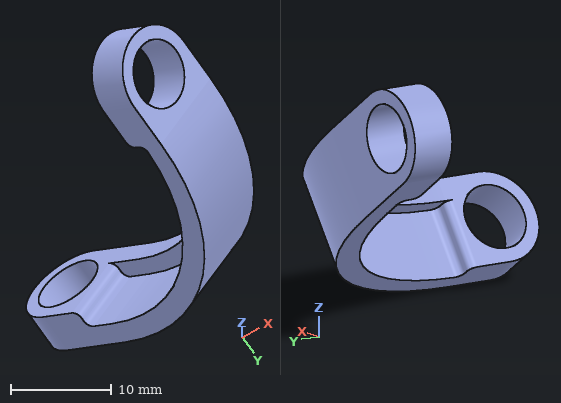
import cadquery as cq
import math

tilt = 36.0
overall_length = 33.95
arm_width = 10.0
thickness = 4.5
hole_diameter = 7.0
reach_along_y = 28.7
first_leg_length = 8.5
rim_width = 2.5
recess_depth = 2.0
step_radius = 0.8

angle = math.radians(tilt)
end_radius = arm_width / 2
reach_along_slope = (overall_length - end_radius * (1 + math.sin(angle))) / math.cos(angle)
outer_bend = reach_along_slope - first_leg_length
inner_bend = outer_bend - thickness
recess_bend = inner_bend + recess_depth
bend_end_y = -outer_bend
inner_face_x = reach_along_slope - thickness
recess_face_x = inner_face_x + recess_depth
recess_face_y = recess_depth - thickness

slope_direction = (math.cos(angle), 0, -math.sin(angle))
width_direction = (math.sin(angle), 0, math.cos(angle))
arm_plane = cq.Plane(origin=(0, 0, 0), xDir=slope_direction, normal=width_direction)


def bend_middle(radius):
    """Midpoint of the quarter bend with the given radius."""
    offset = radius * math.sqrt(0.5)
    return (first_leg_length + offset, bend_end_y + offset)


def arm_layer(bottom, top):
    """L-shaped arm with a quarter bend, between two heights across the width."""
    return (
        cq.Workplane("XY", origin=(0, 0, bottom))
        .moveTo(-end_radius, 0)
        .lineTo(first_leg_length, 0)
        .threePointArc(bend_middle(outer_bend), (reach_along_slope, bend_end_y))
        .lineTo(reach_along_slope, -reach_along_y - end_radius)
        .lineTo(inner_face_x, -reach_along_y - end_radius)
        .lineTo(inner_face_x, bend_end_y)
        .threePointArc(bend_middle(inner_bend), (first_leg_length, -thickness))
        .lineTo(-end_radius, -thickness)
        .close()
        .extrude(top - bottom)
    )


def recessed_layer(bottom, top):
    """Arm layer thinned on the inside of the bend, with rounded steps."""
    cutter = (
        cq.Workplane("XY", origin=(0, 0, bottom))
        .moveTo(end_radius, bend_end_y)
        .lineTo(end_radius, recess_face_y)
        .lineTo(first_leg_length, recess_face_y)
        .threePointArc(bend_middle(recess_bend), (recess_face_x, bend_end_y))
        .close()
        .extrude(top - bottom)
    )
    layer = arm_layer(bottom, top).cut(cutter)
    step_corners = [
        (end_radius, -thickness),
        (end_radius, recess_face_y),
        (inner_face_x, bend_end_y),
        (recess_face_x, bend_end_y),
    ]
    middle = (bottom + top) / 2
    for x, y in step_corners:
        corner_edge = cq.selectors.NearestToPointSelector((x, y, middle))
        layer = layer.edges("|Z").edges(corner_edge).fillet(step_radius)
    return layer


def end_trim(plane, center, outward, depth):
    """Material to remove so an end becomes a half-round eye with a hole."""
    sketch = cq.Workplane(plane).center(*center)
    square = sketch.center(outward * end_radius / 2, 0).rect(end_radius, arm_width).extrude(depth)
    disc = sketch.circle(end_radius).extrude(depth)
    hole = sketch.circle(hole_diameter / 2).extrude(depth)
    return square.cut(disc).union(hole)


rim_bottom = end_radius - rim_width
arm = recessed_layer(-end_radius, rim_bottom).union(arm_layer(rim_bottom, end_radius))

first_eye = end_trim("XZ", (0, 0), -1, thickness)
second_eye_plane = cq.Plane(origin=(inner_face_x, 0, 0), xDir=(0, 1, 0), normal=(1, 0, 0))
second_eye = end_trim(second_eye_plane, (-reach_along_y, 0), -1, thickness)
arm = arm.cut(first_eye).cut(second_eye).clean()

result = cq.Workplane("XY").newObject([arm.val().moved(cq.Location(arm_plane))])